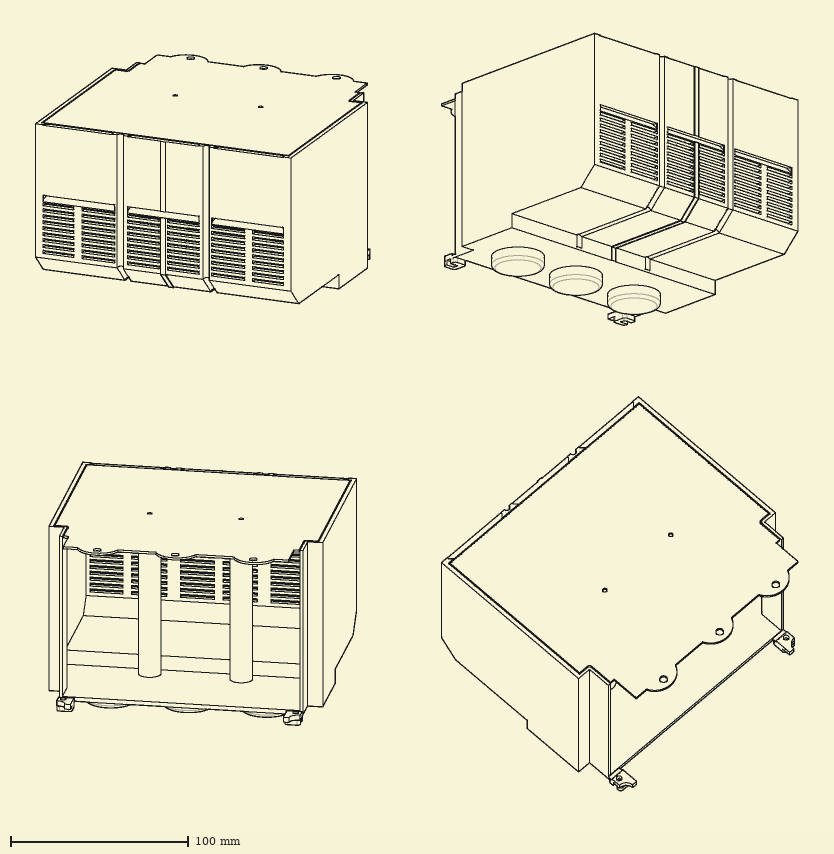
import cadquery as cq
import math


width = 157.0
height = 98.5
rear_width = 139.5
shoulder_y = 109.6
rear_y = 124.7

step_y = 68.5
step_height = 8.5
chamfer_depth = 11.3
chamfer_height = 10.8

front_wall = 3.1
side_wall = 2.5
shoulder_wall = 1.7
rear_wall = 1.7
floor_wall = 2.5
shoulder_radius = 1.9

rib_width = 3.1
rib_height = 0.5
groove_x = 26.4
groove_radius = 1.9
groove_end_z = 1.5
vent_width = 44.0
vent_x = 51.8
mullion_x = 52.5
mullion_width = 5.0
slot_rows = 9
slot_height = 1.7
slot_pitch = 3.53
top_slot_z = height - 47.3
hood_top_z = height - 41.9
hood_bottom_z = height - 45.7
recess_lip = 1.0
hood_depth = 2.7
rim_recess = 0.3
outer_rim_recess_width = 42.7

stub_radius = 14.9
stub_height = 7.0
stub_fillet = 1.9
stub_y = 99.5
pole_pitch = 44.7

lug_width = 8.8
lug_thickness = 3.0
lug_corner_y = 133.5
lug_arc_radius = 5.0
lug_arc_x = 69.4
lug_notch_end = 127.5
lug_notch_depth = 1.1
lug_hole_x = 66.5
lug_hole_y = 130.0
lug_hole_radius = 1.5
foot_drop = 2.8
foot_end_y = 134.5
foot_radius = 1.7
foot_slot_start = 128.6
foot_slot_end = 131.5
foot_slot_depth = 5.5

plate_thickness = 1.3
plate_gap = 0.6
plate_rear_width = 129.0
plate_rear_y = 141.6
ear_radius = 12.5
ear_tip_y = 149.2
ear_hole_y = 143.7
ear_hole_radius = 2.2

boss_x = 26.2
boss_y = 78.2
boss_radius = 6.5
screw_hole_radius = 1.3
screw_depth = 12.5

plate_bottom_z = height - plate_thickness
chamfer_angle = math.atan2(chamfer_depth, chamfer_height)
lug_tip_y = lug_corner_y + lug_arc_radius

margin = 7.8


def stepped_prism(half_width, half_rear_width, front, shoulder, rear, bottom, top):
    """Vertical prism with a wide front part and a narrower rear part."""
    outline = [
        (-half_width, front),
        (half_width, front),
        (half_width, shoulder),
        (half_rear_width, shoulder),
        (half_rear_width, rear),
        (-half_rear_width, rear),
        (-half_rear_width, shoulder),
        (-half_width, shoulder),
    ]
    return cq.Workplane("XY", origin=(0, 0, bottom)).polyline(outline).close().extrude(top - bottom)


def round_shoulders(solid, half_rear_width, shoulder, radius):
    """Round the two vertical edges where the rear part meets the shoulder."""
    reach = 0.2
    for side in (-1, 1):
        x = side * half_rear_width
        corner = cq.selectors.BoxSelector(
            (x - reach, shoulder - reach, -height), (x + reach, shoulder + reach, 2 * height)
        )
        solid = solid.edges("|Z").edges(corner).fillet(radius)
    return solid


def side_profile(inset, length, top):
    """Front, chamfer, floor and step outline in the YZ plane, moved inwards by an inset."""
    front_shift = inset * math.tan(chamfer_angle / 2)
    floor_shift = inset * math.tan(math.pi / 4 - chamfer_angle / 2)
    floor_z = step_height + inset
    return (
        cq.Workplane("YZ", origin=(-width, 0, 0))
        .moveTo(inset, top)
        .lineTo(inset, step_height + chamfer_height + front_shift)
        .lineTo(chamfer_depth + floor_shift, floor_z)
        .lineTo(step_y + inset, floor_z)
        .lineTo(step_y + inset, inset)
        .lineTo(length, inset)
        .lineTo(length, top)
        .close()
        .extrude(2 * width)
    )


def slab(x_start, x_end):
    """Tall block that limits a body to a range of X."""
    block = cq.Workplane("XY").box(x_end - x_start, 4 * width, 4 * height, centered=(False, True, True))
    return block.translate((x_start, 0, 0))


def shell():
    outer = stepped_prism(width / 2, rear_width / 2, 0, shoulder_y, rear_y, 0, height)
    outer = outer.intersect(side_profile(0, rear_y, height))
    half_cavity_rear = rear_width / 2 - rear_wall
    cavity_shoulder = shoulder_y - shoulder_wall
    cavity_rear = rear_y + margin
    cavity_top = height + margin
    half_cavity = width / 2 - side_wall
    cavity = stepped_prism(
        half_cavity, half_cavity_rear, front_wall, cavity_shoulder, cavity_rear, 0, cavity_top
    )
    cavity = round_shoulders(cavity, half_cavity_rear, cavity_shoulder, shoulder_radius)
    cavity = cavity.intersect(side_profile(floor_wall, cavity_rear, cavity_top))
    return outer.cut(cavity)


def centre_rib():
    """Thin band that follows the front, the chamfer, the floor and the step."""
    band = side_profile(-rib_height, shoulder_y, height).cut(side_profile(0, shoulder_y, height))
    below = cq.Workplane("XY").box(4 * width, 4 * width, height, centered=(True, True, False))
    below = below.translate((0, 0, -height))
    return band.intersect(slab(-rib_width / 2, rib_width / 2)).cut(below)


def groove(x):
    """Half-round groove down the front, along the chamfer and the floor, and part-way down the step."""
    path = (
        cq.Workplane("YZ", origin=(x, 0, 0))
        .moveTo(0, height)
        .lineTo(0, step_height + chamfer_height)
        .lineTo(chamfer_depth, step_height)
        .lineTo(step_y, step_height)
        .lineTo(step_y, groove_end_z)
    )
    profile = cq.Workplane("XY", origin=(x, 0, height)).circle(groove_radius)
    return profile.sweep(path, transition="right")


def recess(x, recess_width, depth, bottom, top):
    """Vertical recess in the front wall: a straight lip, then ends that close in at 45 degrees."""
    half = recess_width / 2
    taper = depth - recess_lip
    outline = [
        (x - half, -margin),
        (x + half, -margin),
        (x + half, recess_lip),
        (x + half - taper, depth),
        (x - half + taper, depth),
        (x - half, recess_lip),
    ]
    return cq.Workplane("XY", origin=(0, 0, bottom)).polyline(outline).close().extrude(top - bottom)


def hood(x):
    """Recess above the slots whose floor rises inwards."""
    ramp = (
        cq.Workplane("YZ", origin=(-width, 0, 0))
        .moveTo(0, hood_bottom_z)
        .lineTo(hood_depth, hood_top_z)
        .lineTo(-margin, hood_top_z)
        .lineTo(-margin, hood_bottom_z)
        .close()
        .extrude(2 * width)
    )
    return recess(x, vent_width, hood_depth, hood_bottom_z, hood_top_z).intersect(ramp)


def rim_recesses():
    """Shallow recesses in the top of the front wall, one above each vent."""
    places = [(-mullion_x, outer_rim_recess_width), (0, vent_width), (mullion_x, outer_rim_recess_width)]
    cutter = cq.Workplane("XY")
    for x, recess_width in places:
        cutter = cutter.add(recess(x, recess_width, front_wall, height - rim_recess, height + margin))
    return cutter.combine()


def vent_slots(x, mullion):
    """Two columns of horizontal slots on either side of a mullion."""
    spans = [
        (x - vent_width / 2, mullion - mullion_width / 2),
        (mullion + mullion_width / 2, x + vent_width / 2),
    ]
    slots = cq.Workplane("XY")
    for row in range(slot_rows):
        z = top_slot_z - row * slot_pitch
        for start, end in spans:
            slot = cq.Workplane("XY").box(end - start, 2 * front_wall, slot_height)
            slots = slots.add(slot.translate(((start + end) / 2, front_wall / 2, z)))
    return slots.combine()


def stub(x):
    stub_body = cq.Workplane("XY", origin=(x, stub_y, -stub_height)).circle(stub_radius).extrude(stub_height)
    return stub_body.faces("<Z").edges().fillet(stub_fillet)


def lug():
    """Left mounting lug with a concave rear corner, a slotted foot and a screw hole."""
    outer_x = -rear_width / 2
    inner_x = outer_x + lug_width
    arc_offset = lug_arc_radius * math.sqrt(0.5)
    flange = (
        cq.Workplane("XY")
        .moveTo(outer_x, rear_y)
        .lineTo(outer_x, lug_corner_y)
        .lineTo(-lug_arc_x, lug_corner_y)
        .threePointArc(
            (-lug_arc_x + arc_offset, lug_tip_y - arc_offset), (-lug_arc_x + lug_arc_radius, lug_tip_y)
        )
        .lineTo(inner_x, lug_tip_y)
        .lineTo(inner_x, rear_y)
        .close()
        .extrude(lug_thickness)
    )
    notch = cq.Workplane("XY").box(lug_width, lug_notch_end - rear_y, lug_notch_depth, centered=False)
    flange = flange.cut(notch.translate((outer_x, rear_y, lug_thickness - lug_notch_depth)))
    foot = cq.Workplane("XY").box(lug_width, foot_end_y - rear_y, foot_drop, centered=False)
    foot = foot.edges("|Z").fillet(foot_radius).translate((outer_x, rear_y, -foot_drop))
    foot_slot_width = foot_slot_end - foot_slot_start
    foot_slot = cq.Workplane("XY").box(foot_slot_depth, foot_slot_width, foot_drop, centered=False)
    foot = foot.cut(foot_slot.translate((outer_x, foot_slot_start, -foot_drop)))
    hole = cq.Workplane("XY", origin=(-lug_hole_x, lug_hole_y, -height)).circle(lug_hole_radius)
    return flange.union(foot).cut(hole.extrude(2 * height))


def boss(x):
    """Screw boss from the floor up to the underside of the plate."""
    post = cq.Workplane("XY", origin=(x, boss_y, 0)).circle(boss_radius).extrude(plate_bottom_z)
    screw = cq.Workplane("XY", origin=(x, boss_y, plate_bottom_z - screw_depth)).circle(screw_hole_radius)
    return post.cut(screw.extrude(screw_depth))


def make_housing():
    body = shell().union(centre_rib())
    for side in (-1, 1):
        body = body.union(boss(side * boss_x))
        body = body.cut(groove(side * groove_x))
    for side in (-1, 0, 1):
        body = body.cut(hood(side * vent_x))
        body = body.cut(vent_slots(side * vent_x, side * mullion_x))
        body = body.union(stub(side * pole_pitch))
    body = body.cut(rim_recesses())
    left_lug = lug()
    return body.union(left_lug).union(left_lug.mirror("YZ"))


def plate_discs(x_places, y, radius):
    """Row of discs as thick as the plate."""
    centres = [(x, y) for x in x_places]
    discs = cq.Workplane("XY", origin=(0, 0, plate_bottom_z)).pushPoints(centres).circle(radius)
    return discs.extrude(plate_thickness)


def make_plate():
    half_width = width / 2 - side_wall - plate_gap
    half_rear = rear_width / 2 - rear_wall - plate_gap
    shoulder = shoulder_y - shoulder_wall - plate_gap
    plate = stepped_prism(
        half_width, half_rear, front_wall + plate_gap, shoulder, rear_y - plate_gap, plate_bottom_z, height
    )
    plate = round_shoulders(plate, half_rear, shoulder, shoulder_radius)
    tail = cq.Workplane("XY").box(
        plate_rear_width, plate_rear_y - shoulder, plate_thickness, centered=(True, False, False)
    )
    plate = plate.union(tail.translate((0, shoulder, plate_bottom_z)))
    poles = (-pole_pitch, 0, pole_pitch)
    plate = plate.union(plate_discs(poles, ear_tip_y - ear_radius, ear_radius))
    plate = plate.cut(plate_discs(poles, ear_hole_y, ear_hole_radius))
    return plate.cut(plate_discs((-boss_x, boss_x), boss_y, screw_hole_radius))


housing = make_housing()
plate = make_plate()

result = cq.Compound.makeCompound([housing.val(), plate.val()])